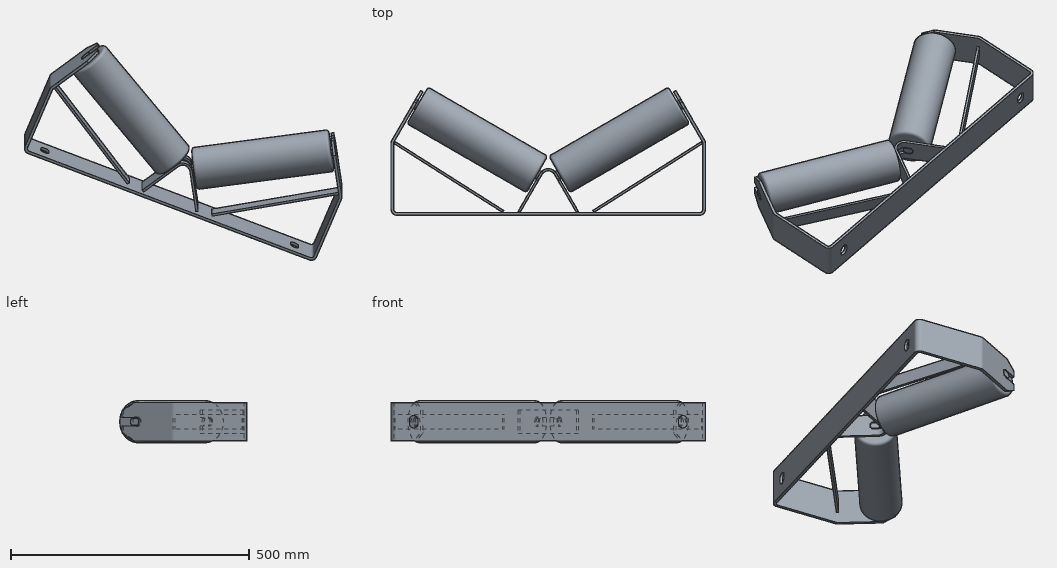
import cadquery as cq
import math

TILT = 30.0

FRAME_WIDTH = 660.0
FRAME_DEPTH = 80.0
FRAME_THICKNESS = 6.0
FRAME_BEND = 12.0
SIDE_CORNER_Y = 154.5
ARM_LENGTH = 124.0
ARM_CHAMFER_LENGTH = 27.0
ARM_CHAMFER_DEPTH = 16.0

MOUNT_HOLE_SPACING = 565.0
MOUNT_HOLE_WIDTH = 18.0
MOUNT_HOLE_LENGTH = 26.0

ROLLER_DIAMETER = 89.0
ROLLER_FILLET = 6.0
ROLLER_GAP = 4.0
ROLLER_LENGTH = 290.0
SHAFT_DIAMETER = 20.0
SHAFT_FLATS = 14.0
SLOT_WIDTH = 18.0
SLOT_END_OFFSET = 2.0
SHAFT_TO_ARM_TIP = 30.3

BRACKET_THICKNESS = 5.0
BRACKET_DEPTH = 50.0
BRACKET_BEND = 20.0

STRUT_THICKNESS = 5.0
STRUT_DEPTH = 30.0
STRUT_FOOT_X = -96.0
STRUT_HEAD_Y = 150.5

SIN = math.sin(math.radians(TILT))
COS = math.cos(math.radians(TILT))
HALF_WIDTH = FRAME_WIDTH / 2

ARM_TIP = (-HALF_WIDTH + ARM_LENGTH * SIN, SIDE_CORNER_Y + ARM_LENGTH * COS)
AXIS_START = (ARM_TIP[0] - SHAFT_TO_ARM_TIP * SIN, ARM_TIP[1] - SHAFT_TO_ARM_TIP * COS)
SUPPORT_SPAN = ROLLER_LENGTH + 2 * ROLLER_GAP
SHAFT_LENGTH = FRAME_THICKNESS + SUPPORT_SPAN + BRACKET_THICKNESS


def along_axis(distance):
    """Point at a distance along the left roller axis."""
    return (AXIS_START[0] + distance * COS, AXIS_START[1] - distance * SIN)


def axis_plane(distance):
    """Plane square to the left roller axis: local x up the arm, local y along Z."""
    x, y = along_axis(distance)
    return cq.Plane(origin=(x, y, 0), xDir=(SIN, COS, 0), normal=(COS, -SIN, 0))


def mirrored(body):
    return body.mirror("YZ")


def polygon_plate(points, depth):
    return cq.Workplane("XY").polyline(points).close().extrude(depth / 2, both=True)


def support_slot(length, depth):
    """Round-ended slot running up from the shaft, cut along the roller axis."""
    body_length = length + SLOT_END_OFFSET
    slot = cq.Workplane(axis_plane(0)).center(-SLOT_END_OFFSET, 0)
    round_end = slot.circle(SLOT_WIDTH / 2).extrude(depth)
    return slot.center(body_length / 2, 0).rect(body_length, SLOT_WIDTH).extrude(depth).union(round_end)


def frame_strip():
    t = FRAME_THICKNESS
    inner_corner_y = SIDE_CORNER_Y - t * math.tan(math.radians(TILT / 2))
    inner_tip = (ARM_TIP[0] + t * COS, ARM_TIP[1] - t * SIN)
    half = [
        (0, 0),
        (-HALF_WIDTH, 0),
        (-HALF_WIDTH, SIDE_CORNER_Y),
        ARM_TIP,
        inner_tip,
        (-HALF_WIDTH + t, inner_corner_y),
        (-HALF_WIDTH + t, t),
        (0, t),
    ]
    strip = polygon_plate(half, FRAME_DEPTH)

    def bend_edge(point):
        x, y = point
        return cq.selectors.NearestToPointSelector((x, y, 0))

    base_corner = (half[1], half[6])
    arm_corner = (half[2], half[5])
    for outer, inner in (base_corner, arm_corner):
        strip = strip.edges(bend_edge(outer)).fillet(FRAME_BEND)
        strip = strip.edges(bend_edge(inner)).fillet(FRAME_BEND - t)
    return strip


def arm_chamfers():
    """Two wedges that trim the corners of the arm tip."""
    edge = FRAME_DEPTH / 2
    wedges = cq.Workplane(axis_plane(0))
    for side in (1, -1):
        wedges = wedges.polyline([
            (SHAFT_TO_ARM_TIP, side * edge),
            (SHAFT_TO_ARM_TIP - ARM_CHAMFER_LENGTH, side * edge),
            (SHAFT_TO_ARM_TIP, side * (edge - ARM_CHAMFER_DEPTH)),
        ]).close()
    return wedges.extrude(FRAME_THICKNESS)


def mount_holes():
    return (
        cq.Workplane("XZ")
        .pushPoints([(-MOUNT_HOLE_SPACING / 2, 0), (MOUNT_HOLE_SPACING / 2, 0)])
        .slot2D(MOUNT_HOLE_LENGTH, MOUNT_HOLE_WIDTH, 90)
        .extrude(-FRAME_THICKNESS)
    )


def make_frame():
    half = frame_strip().cut(arm_chamfers()).cut(support_slot(SHAFT_TO_ARM_TIP, FRAME_THICKNESS))
    return half.union(mirrored(half)).cut(mount_holes())


def make_bracket():
    t = BRACKET_THICKNESS
    face = along_axis(FRAME_THICKNESS + SUPPORT_SPAN)
    sharp_apex_y = face[1] - face[0] * COS / SIN
    centre_y = sharp_apex_y - BRACKET_BEND / SIN
    inner_bend = BRACKET_BEND - t
    foot_inner = (-(sharp_apex_y - t / SIN - FRAME_THICKNESS) * SIN / COS, FRAME_THICKNESS)
    foot_outer = (foot_inner[0] - t * COS, foot_inner[1] + t * SIN)

    def bend_point(radius, angle):
        angle = math.radians(angle)
        return (-radius * math.sin(angle), centre_y + radius * math.cos(angle))

    leg_angle = 90 - TILT
    half = (
        cq.Workplane("XY")
        .moveTo(*foot_inner)
        .lineTo(*foot_outer)
        .lineTo(*bend_point(BRACKET_BEND, leg_angle))
        .threePointArc(bend_point(BRACKET_BEND, leg_angle / 2), bend_point(BRACKET_BEND, 0))
        .lineTo(*bend_point(inner_bend, 0))
        .threePointArc(bend_point(inner_bend, leg_angle / 2), bend_point(inner_bend, leg_angle))
        .close()
        .extrude(BRACKET_DEPTH / 2, both=True)
    )
    half = half.cut(support_slot(2 * BRACKET_BEND, SHAFT_LENGTH + BRACKET_BEND))
    return half.union(mirrored(half))


def make_strut():
    foot = (STRUT_FOOT_X, FRAME_THICKNESS)
    head_x = -HALF_WIDTH + FRAME_THICKNESS
    run = foot[0] - head_x
    drop = STRUT_HEAD_Y - foot[1]
    length = math.hypot(run, drop)
    across = (STRUT_THICKNESS * drop / length, STRUT_THICKNESS * run / length)
    head = (head_x, STRUT_HEAD_Y)
    upper_foot = (foot[0] + across[0], foot[1] + across[1])
    upper_head = (head[0] + across[0], head[1] + across[1])
    return polygon_plate([head, foot, upper_foot, upper_head], STRUT_DEPTH)


def make_roller():
    shell = (
        cq.Workplane(axis_plane(FRAME_THICKNESS + ROLLER_GAP))
        .circle(ROLLER_DIAMETER / 2)
        .extrude(ROLLER_LENGTH)
        .edges()
        .fillet(ROLLER_FILLET)
    )
    round_shaft = (
        cq.Workplane(axis_plane(FRAME_THICKNESS))
        .circle(SHAFT_DIAMETER / 2)
        .extrude(SUPPORT_SPAN)
    )
    flats = cq.Workplane(axis_plane(0)).rect(SHAFT_DIAMETER, SHAFT_FLATS).extrude(SHAFT_LENGTH)
    flat_shaft = (
        cq.Workplane(axis_plane(0))
        .circle(SHAFT_DIAMETER / 2)
        .extrude(SHAFT_LENGTH)
        .intersect(flats)
    )
    return shell.union(round_shaft).union(flat_shaft)


frame = make_frame()
bracket = make_bracket()
strut = make_strut()
roller = make_roller()

bodies = [frame.val(), bracket.val()]
for body in (strut, roller):
    bodies += [body.val(), mirrored(body).val()]

result = cq.Compound.makeCompound(bodies)